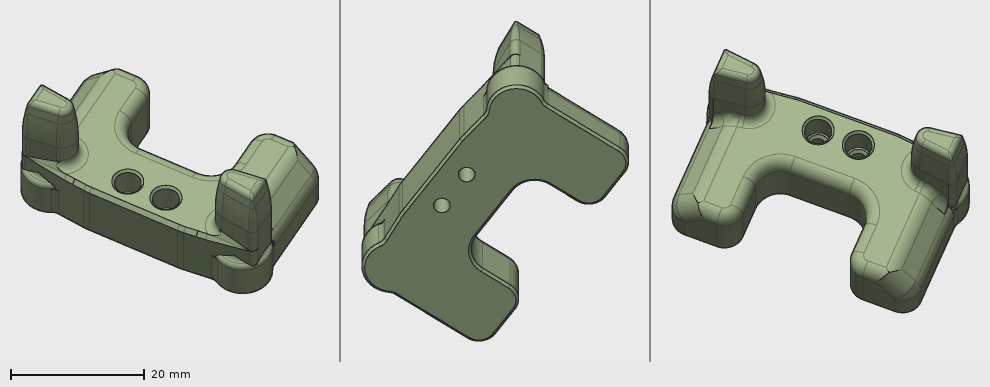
import cadquery as cq
import math


body_height = 10.0
arm_outer_x = 20.0
arm_inner_x = 8.8
arm_end_y = 19.35
slot_floor_y = 7.35
slot_corner_radius = 4.0
arm_end_radius = 3.0
inner_top_radius = 2.0
shoulder_size = 4.0
shoulder_radius = 3.0
front_bend_x = 8.0
front_angle = 6.0
front_corner_depth = 2.95
front_bend_radius = 10.0
front_chamfer = 0.65
bottom_chamfer = 0.4

flank_angle = 7.0
nose_radius = 2.4
nose_tip_x = 12.0
horn_corner_radius = 1.0
horn_height = 22.0
lean_start = 14.42
lean_radius = 30.0
lean_angle = 10.0
horn_tip_radius = 1.0
foot_radius = 1.5
relief_run = 1.05
relief_rise = 1.5
relief_end = 0.05

pad_radius = 4.5
pad_x = 20.85 - pad_radius
pad_side_height = 6.0
flare_radius = 2.0
cap_curve_radius = 1.0
cap_inset = 1.15

hole_x = 3.25
hole_diameter = 2.5
hole_mouth_diameter = 3.4
bore_diameter = 4.05
bore_mouth_diameter = 4.8
bore_depth = 5.0

flank_slope = math.tan(math.radians(flank_angle))
front_slope = math.tan(math.radians(front_angle))
front_y = -front_corner_depth - (arm_outer_x - front_bend_x) * front_slope
nose_x = nose_tip_x + nose_radius
nose_end_x = nose_x - nose_radius * math.sin(math.radians(flank_angle))
nose_end_y = nose_radius * math.cos(math.radians(flank_angle))
shoulder_x = arm_outer_x - shoulder_size
shoulder_z = body_height - shoulder_size
trim_margin = 0.4
foot_start_x = nose_tip_x - foot_radius
foot_end_x = arm_outer_x - horn_corner_radius
reach = 8.35


def edge_at(x, y, z):
    """Select the edge whose middle is nearest to the given point."""
    return cq.selectors.NearestToPointSelector((x, y, z))


def box(x_range, y_range, z_range):
    """A block spanning the given ranges along X, Y and Z."""
    corner = (x_range[0], y_range[0], z_range[0])
    size = (x_range[1] - x_range[0], y_range[1] - y_range[0], z_range[1] - z_range[0])
    return cq.Workplane("XY").box(*size, centered=False).translate(corner)


def plan_block(height):
    """Half of the U outline as a prism, its upright edges rounded except at the outer arm end."""
    middle = height / 2
    block = (
        cq.Workplane("XY")
        .moveTo(0, front_y)
        .lineTo(front_bend_x, front_y)
        .lineTo(arm_outer_x, -front_corner_depth)
        .lineTo(arm_outer_x, arm_end_y)
        .lineTo(arm_inner_x, arm_end_y)
        .lineTo(arm_inner_x, slot_floor_y)
        .lineTo(0, slot_floor_y)
        .close()
        .extrude(height)
    )
    block = block.edges(edge_at(front_bend_x, front_y, middle)).fillet(front_bend_radius)
    block = block.edges(edge_at(arm_outer_x, -front_corner_depth, middle)).fillet(horn_corner_radius)
    block = block.edges(edge_at(arm_inner_x, slot_floor_y, middle)).fillet(slot_corner_radius)
    return block.edges(edge_at(arm_inner_x, arm_end_y, middle)).fillet(arm_end_radius)


def shoulder_bar(y_start):
    """A straight bar up to the arm end whose outer top edge is cut to the shoulder slope."""
    bar = box((0, arm_outer_x), (y_start, arm_end_y), (0, body_height))
    return bar.edges("|Y and >X and >Z").chamfer(shoulder_size)


def body():
    """The block with its front chamfer, rounded inner edges and outer shoulder."""
    block = plan_block(body_height)
    block = block.edges(edge_at(front_bend_x / 2, front_y, body_height)).chamfer(front_chamfer)
    inner_middle_y = (arm_end_y + slot_floor_y) / 2
    block = block.edges(edge_at(arm_inner_x, inner_middle_y, body_height)).fillet(inner_top_radius)

    slope = shoulder_bar(-reach)
    middle_x = (shoulder_x + arm_outer_x) / 2
    slope = slope.edges(edge_at(middle_x, arm_end_y, (shoulder_z + body_height) / 2)
                        + edge_at(arm_outer_x, arm_end_y, shoulder_z / 2)).fillet(arm_end_radius)
    slope_middle_y = (arm_end_y - arm_end_radius - reach) / 2
    slope = slope.edges(edge_at(arm_outer_x, slope_middle_y, shoulder_z)).fillet(shoulder_radius)
    crest = shoulder_bar(-reach).faces(">Z").edges(">X").fillet(shoulder_radius)
    front = box((0, arm_outer_x), (-reach, 0), (0, body_height))
    return block.intersect(slope.intersect(crest).union(front))


def wedge(back_x, height):
    """The horn's plan outline, running from the round nose to a flat back, as a prism."""
    back_y = nose_end_y + (back_x - nose_end_x) * flank_slope
    return (
        cq.Workplane("XY")
        .moveTo(nose_end_x, -nose_end_y)
        .threePointArc((nose_tip_x, 0), (nose_end_x, nose_end_y))
        .lineTo(back_x, back_y)
        .lineTo(back_x, -back_y)
        .close()
        .extrude(height)
    )


def horn():
    """The wedge with rounded corners, leaning sides and a rounded tip."""
    solid = wedge(arm_outer_x, horn_height).edges("|Z and >X").fillet(horn_corner_radius)
    outline = solid.faces("<Z").wires().val().translate(cq.Vector(0, 0, lean_start))

    def lean_point(angle):
        inset = lean_radius * (1 - math.cos(math.radians(angle)))
        return (nose_tip_x + inset, lean_start + lean_radius * math.sin(math.radians(angle)))

    arc_end_x, arc_end_z = lean_point(lean_angle)
    top_x = arc_end_x + (horn_height - arc_end_z) * math.tan(math.radians(lean_angle))
    trim = (
        cq.Workplane("XZ")
        .moveTo(nose_tip_x, lean_start)
        .threePointArc(lean_point(lean_angle / 2), (arc_end_x, arc_end_z))
        .lineTo(top_x, horn_height)
        .lineTo(nose_tip_x - trim_margin, horn_height)
        .lineTo(nose_tip_x - trim_margin, lean_start)
        .close()
        .sweep(cq.Workplane(outline), transition="right")
    )
    return solid.cut(trim).faces(">Z").edges().fillet(horn_tip_radius)


def front_relief():
    """Space in front of the horn's foot: the front chamfer, fading out where the foot meets the wall."""
    def section(x, chamfer, foot_run, foot_rise):
        wall_y = -front_corner_depth - (arm_outer_x - x) * front_slope
        top_y = wall_y + chamfer
        return cq.Wire.makePolygon([
            cq.Vector(x, wall_y, body_height - chamfer),
            cq.Vector(x, top_y, body_height),
            cq.Vector(x, top_y + foot_run, body_height + foot_rise),
            cq.Vector(x, top_y + foot_run, lean_start),
            cq.Vector(x, wall_y, lean_start),
        ], close=True)

    start = section(foot_start_x, front_chamfer, relief_run, relief_rise)
    full = section(nose_tip_x, front_chamfer, relief_run, relief_rise)
    end = section(foot_end_x, relief_end, relief_end, relief_end)
    return cq.Workplane(cq.Solid.makeLoft([start, full, end], True))


def front_corner():
    """The body's front corner below the horn, where the front chamfer fades out."""
    zone = box((foot_start_x, arm_outer_x), (-reach, 0), (0, body_height))
    return plan_block(body_height).intersect(zone).cut(front_relief())


def horn_foot():
    """The fillet around the foot of the horn, over the top face and down the shoulder."""
    far_x = arm_outer_x + reach
    arm = shoulder_bar(0)
    arm = arm.edges(edge_at(shoulder_x, arm_end_y / 2, body_height)
                    + edge_at(arm_outer_x, arm_end_y / 2, shoulder_z)).fillet(shoulder_radius)
    ledge = box((0, far_x), (-reach, 0), (0, body_height))
    foot = arm.union(ledge).union(wedge(far_x, lean_start)).clean()
    foot = foot.edges(edge_at(nose_tip_x, 0, body_height)).fillet(foot_radius)

    zone = box((foot_start_x, foot_end_x), (-reach, pad_radius), (0, lean_start))
    return foot.intersect(zone).intersect(plan_block(lean_start)).cut(front_relief())


def pad():
    """The pad below its cap: a circle blending into the two walls by tangent flare arcs."""
    span = pad_radius + flare_radius

    def polar(center, radius, angle):
        return (center[0] + radius * math.cos(angle), center[1] + radius * math.sin(angle))

    def flare(normal, wall_distance, side):
        """Points of one flare, from the wall to the circle; normal is the wall's outward direction."""
        turn = normal + side * math.acos((wall_distance + flare_radius) / span)
        center = polar((pad_x, 0), span, turn)
        half_way = (normal + turn) / 2 + math.pi
        on_wall = polar(center, flare_radius, normal + math.pi)
        return on_wall, polar(center, flare_radius, half_way), polar((pad_x, 0), pad_radius, turn)

    front_normal = math.radians(front_angle - 90)
    outer_gap = arm_outer_x - pad_x
    front_gap = outer_gap * math.cos(front_normal) - front_corner_depth * math.sin(front_normal)
    outer = flare(0, outer_gap, 1)
    front = flare(front_normal, front_gap, -1)
    outline = (
        cq.Workplane("XY")
        .moveTo(*outer[0])
        .threePointArc(outer[1], outer[2])
        .threePointArc(polar((pad_x, 0), pad_radius, front_normal / 2), front[2])
        .threePointArc(front[1], front[0])
        .lineTo(front[0][0], 0)
        .lineTo(pad_x, outer[0][1])
        .close()
    )
    return outline.extrude(pad_side_height)


def pad_cap():
    """The pad's top: a round shoulder that turns up into the walls above it."""
    half_inset = cap_inset / 2
    turn = math.acos(1 - half_inset / cap_curve_radius)
    half_rise = cap_curve_radius * math.sin(turn)
    bulge_in = cap_curve_radius * (1 - math.cos(turn / 2))
    bulge_up = cap_curve_radius * math.sin(turn / 2)
    inner_radius = pad_radius - cap_inset
    top = pad_side_height + 2 * half_rise
    return (
        cq.Workplane("XZ")
        .moveTo(0, pad_side_height)
        .lineTo(pad_radius, pad_side_height)
        .threePointArc((pad_radius - bulge_in, pad_side_height + bulge_up),
                       (pad_radius - half_inset, pad_side_height + half_rise))
        .threePointArc((inner_radius + bulge_in, top - bulge_up), (inner_radius, top))
        .lineTo(0, top)
        .close()
        .revolve(360, (0, 0), (0, 1))
        .translate((pad_x, 0, 0))
    )


def screw_hole():
    """The space of one stepped hole: a half section turned about the hole axis."""
    bore_floor = body_height - bore_depth
    mouth_depth = (hole_mouth_diameter - hole_diameter) / 2
    bore_mouth_depth = (bore_mouth_diameter - bore_diameter) / 2
    return (
        cq.Workplane("XZ")
        .lineTo(hole_diameter / 2, 0)
        .lineTo(hole_diameter / 2, bore_floor - mouth_depth)
        .lineTo(hole_mouth_diameter / 2, bore_floor)
        .lineTo(bore_diameter / 2, bore_floor)
        .lineTo(bore_diameter / 2, body_height - bore_mouth_depth)
        .lineTo(bore_mouth_diameter / 2, body_height)
        .lineTo(0, body_height)
        .close()
        .revolve(360, (0, 0), (0, 1))
        .translate((hole_x, 0, 0))
    )


half = body()
for piece in (front_corner(), horn(), horn_foot(), pad(), pad_cap()):
    half = half.union(piece)
half = half.clean()
whole = half.union(half.mirror("YZ")).clean()
whole = whole.faces("<Z").edges().chamfer(bottom_chamfer)
result = whole.cut(screw_hole()).cut(screw_hole().mirror("YZ"))